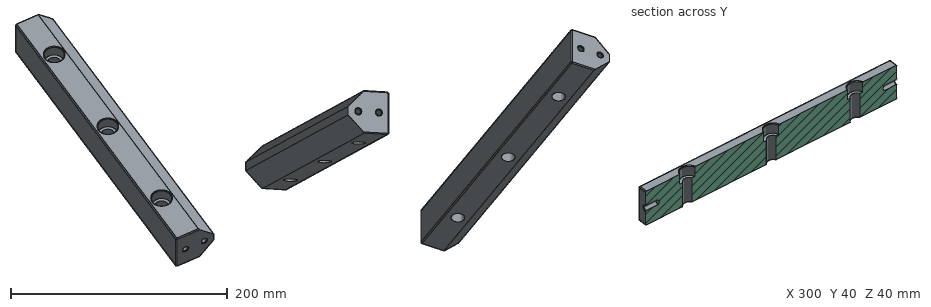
import cadquery as cq
import math

length = 300.0
width = 40.0
height = 40.0

v_flank = 16.0
long_edge_chamfer = 1.2
end_edge_chamfer = 1.0

mount_spacing = 100.0
mount_count = 3
mount_y = 13.0
mount_diameter = 12.5
counterbore_diameter = 18.5
counterbore_depth = 11.5
counterbore_mouth_chamfer = 0.75

end_hole_ys = (width / 4, 3 * width / 4)
end_hole_diameter = 5.25
end_hole_mouth_diameter = 6.75
end_hole_depth = 15.0
drill_half_angle = math.radians(59)


def v_bar():
    """Bar with a V nose on +Y; the edges of the flanks and the nose stay sharp."""
    block = cq.Workplane("XY").box(length, width, height, centered=(True, False, True))
    block = block.faces("<Y").edges("|X").chamfer(long_edge_chamfer)
    block = block.faces("<X or >X").edges("not >Y").chamfer(end_edge_chamfer)
    flank_start = width - v_flank
    nose_half_height = height / 2 - v_flank
    for side in (1, -1):
        corner = (
            cq.Workplane("YZ")
            .moveTo(flank_start, side * height / 2)
            .lineTo(width, side * height / 2)
            .lineTo(width, side * nose_half_height)
            .close()
            .extrude(length / 2, both=True)
        )
        block = block.cut(corner)
    return block


def mounting_hole(x):
    """Through hole with a chamfered counterbore sunk from the top face."""
    top = height / 2
    through_radius = mount_diameter / 2
    bore_radius = counterbore_diameter / 2
    return (
        cq.Workplane("XZ")
        .polyline([
            (0, -top),
            (through_radius, -top),
            (through_radius, top - counterbore_depth),
            (bore_radius, top - counterbore_depth),
            (bore_radius, top - counterbore_mouth_chamfer),
            (bore_radius + counterbore_mouth_chamfer, top),
            (0, top),
        ])
        .close()
        .revolve(360, (0, 0, 0), (0, 1, 0))
        .translate((x, mount_y, 0))
    )


def end_hole(y):
    """Drilled hole with a 45 degree countersunk mouth and a conical tip, entering at -X."""
    radius = end_hole_diameter / 2
    mouth_radius = end_hole_mouth_diameter / 2
    tip_depth = end_hole_depth + radius / math.tan(drill_half_angle)
    return (
        cq.Workplane("XY")
        .polyline([
            (0, 0),
            (0, mouth_radius),
            (mouth_radius - radius, radius),
            (end_hole_depth, radius),
            (tip_depth, 0),
        ])
        .close()
        .revolve(360, (0, 0, 0), (1, 0, 0))
        .translate((-length / 2, y, 0))
    )


result = v_bar()
for index in range(mount_count):
    mount_x = (index - (mount_count - 1) / 2) * mount_spacing
    result = result.cut(mounting_hole(mount_x))
for hole_y in end_hole_ys:
    left_hole = end_hole(hole_y)
    result = result.cut(left_hole).cut(left_hole.mirror("YZ"))